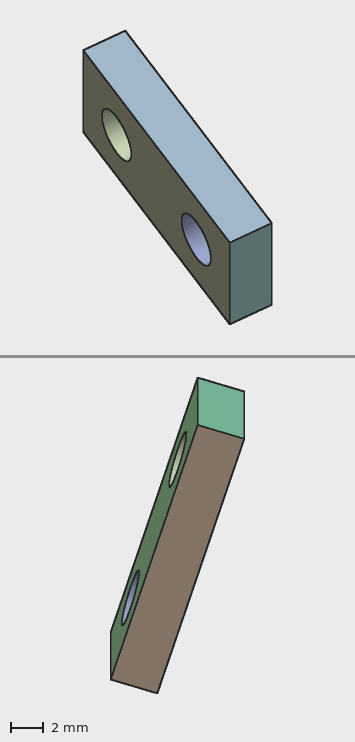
import cadquery as cq

length = 17.5
thickness = 3.0
height = 8.0

hole_diameter = 3.5
hole_spacing = 9.5

plate = cq.Workplane("XY").box(length, thickness, height)

result = (
    plate.faces("<Y")
    .workplane(centerOption="CenterOfBoundBox")
    .pushPoints([(-hole_spacing / 2, 0), (hole_spacing / 2, 0)])
    .hole(hole_diameter)
)